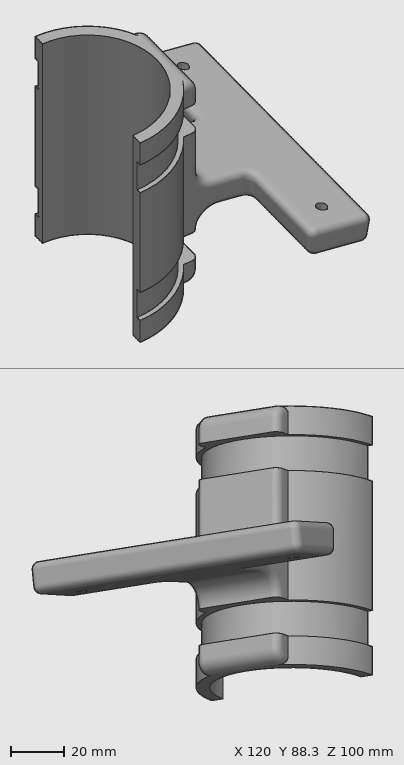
import cadquery as cq
import math

tube_length = 100.0
outer_radius = 36.0
bore_radius = 31.0

groove_radius = 34.0
groove_width = 13.9
groove_end_margin = 11.0

pad_back = 37.5
pad_width = 37.0
pad_end_radius = 5.0

handle_tilt = 10.0
handle_root_z = -9.0
handle_thickness = 12.2
handle_reach = 51.0
bar_length = 120.0
bar_front = 61.0
root_radius = 8.0
inner_corner_radius = 3.0
edge_radius = 3.0

hole_diameter = 4.5
hole_spacing = 94.8
hole_reach = 35.8


def half_disc(radius, length):
    """Half cylinder about Z, on the +Y side, centred on Z = 0."""
    return (
        cq.Workplane("XY")
        .workplane(offset=-length / 2)
        .moveTo(radius, 0)
        .threePointArc((0, radius), (-radius, 0))
        .close()
        .extrude(length)
    )


def tilted(body):
    """Move a body from the handle frame (Y outward, Z across thickness) onto the pad."""
    return body.rotate((0, 0, 0), (1, 0, 0), -handle_tilt).translate((0, pad_back, handle_root_z))


def handle_block(width, start, end):
    middle = (start + end) / 2
    return tilted(cq.Workplane("XY").box(width, end - start, handle_thickness).translate((0, middle, 0)))


def fillet_at(body, point, radius):
    """Round the edge whose centre is nearest to a point."""
    return body.edges(cq.selectors.NearestToPointSelector(point)).fillet(radius)


def pad_slab():
    """Slab from the tube axis plane to the pad back, with both outer ends rounded."""
    slab = cq.Workplane("XY").box(pad_width, pad_back, tube_length).translate((0, pad_back / 2, 0))
    return slab.edges("|X and >Y").fillet(pad_end_radius)


def mount():
    """Pad and handle as one body with rounded edges."""
    body = pad_slab()
    body = body.union(handle_block(pad_width, -pad_back / 2, handle_reach))
    in_front = cq.Workplane("XY").box(2 * bar_length, 2 * bar_front, 2 * tube_length)
    body = body.union(handle_block(bar_length, 0, handle_reach).cut(in_front))

    half_height = handle_thickness / 2 / math.cos(math.radians(handle_tilt))
    for side in (-1, 1):
        body = fillet_at(body, (0, pad_back, handle_root_z + side * half_height), root_radius)
    bar_front_z = handle_root_z - (bar_front - pad_back) * math.tan(math.radians(handle_tilt))
    for side in (-1, 1):
        body = fillet_at(body, (side * pad_width / 2, bar_front, bar_front_z), inner_corner_radius)

    rounded = body.edges(cq.selectors.BoxSelector(
        (-bar_length, pad_back - pad_end_radius, -tube_length),
        (bar_length, pad_back + 2 * handle_reach, tube_length),
    ))
    sharp = [edge for edge in rounded.vals() if is_sharp(body, edge)]
    return body.newObject(sharp).fillet(edge_radius)


def is_sharp(body, edge):
    """True where the two faces beside an edge meet at a clear angle."""
    point = edge.positionAt(0.5)
    faces = [f for f in body.faces().vals() if any(e.isSame(edge) for e in f.Edges())]
    first, second = (f.normalAt(point) for f in faces)
    return first.dot(second) < 0.9


def strap_grooves():
    ring = half_disc(2 * outer_radius, groove_width).cut(half_disc(groove_radius, groove_width))
    offset = tube_length / 2 - groove_end_margin - groove_width / 2
    return ring.translate((0, 0, offset)).union(ring.translate((0, 0, -offset)))


def screw_holes():
    drill = (
        cq.Workplane("XY")
        .pushPoints([(-hole_spacing / 2, hole_reach), (hole_spacing / 2, hole_reach)])
        .circle(hole_diameter / 2)
        .extrude(handle_thickness, both=True)
    )
    return tilted(drill)


crown = pad_back - pad_end_radius
below_crown = cq.Workplane("XY").box(2 * outer_radius, 2 * crown, tube_length)
tube = half_disc(outer_radius, tube_length).intersect(below_crown)
result = tube.union(mount())
result = result.cut(half_disc(bore_radius, tube_length))
result = result.cut(strap_grooves())
result = result.cut(screw_holes()).clean()